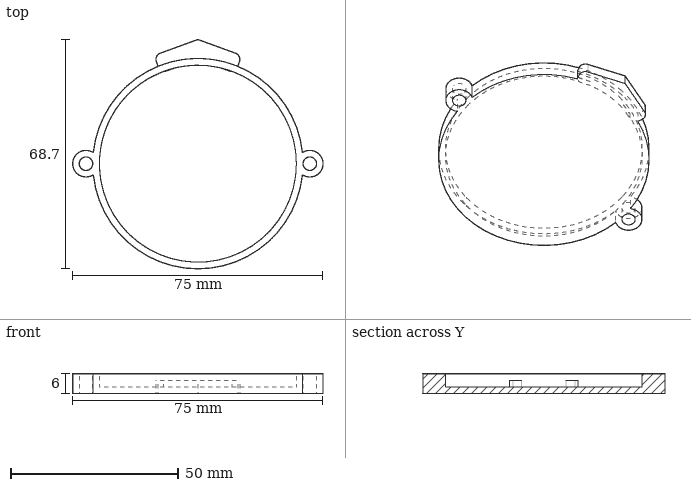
import cadquery as cq
import math

overall_length = 75.0
overall_width = 68.7
height = 6.0

dish_diameter = 63.0
wall = 2.0
floor_thickness = 2.0
dish_radius = dish_diameter / 2
pocket_radius = dish_radius - wall

lug_diameter = 8.0
hole_diameter = 4.0
lug_offset = (overall_length - lug_diameter) / 2

clip_height = 4.0
arm_slope = 20.0
arm_width = 5.7
arm_corner_radius = 2.0
arm_overrun = 1.3
peak_y = overall_width - dish_radius


def make_dish_with_lugs():
    """Disc and full-height lugs, hollowed by the pocket and drilled at the lugs."""
    lug_centers = [(-lug_offset, 0), (lug_offset, 0)]
    body = cq.Workplane("XY").circle(dish_radius).extrude(height)
    lugs = cq.Workplane("XY").pushPoints(lug_centers).circle(lug_diameter / 2).extrude(height)
    holes = cq.Workplane("XY").pushPoints(lug_centers).circle(hole_diameter / 2).extrude(height)
    pocket = (
        cq.Workplane("XY")
        .workplane(offset=floor_thickness)
        .circle(pocket_radius)
        .extrude(height - floor_thickness)
    )
    return body.union(lugs).cut(pocket).cut(holes)


def make_left_arm():
    """Bar with a rounded free end, mitred on the YZ plane; its inner face just enters the pocket."""
    slope = math.radians(arm_slope)
    outer_face = peak_y * math.cos(slope)
    peak_reach = peak_y * math.sin(slope)
    arm_length = arm_overrun + peak_reach + arm_width
    bar = (
        cq.Workplane("XY")
        .box(arm_length, arm_width, clip_height, centered=False)
        .edges("|Z and <X")
        .fillet(arm_corner_radius)
        .translate((-arm_overrun, outer_face - arm_width, 0))
        .rotate((0, 0, 0), (0, 0, 1), arm_slope)
    )
    left_half = cq.Workplane("XY").box(
        overall_length, overall_length, clip_height, centered=(False, True, False)
    ).translate((-overall_length, 0, 0))
    return bar.intersect(left_half)


left_arm = make_left_arm()
clip = left_arm.union(left_arm.mirror("YZ"))
result = make_dish_with_lugs().union(clip)